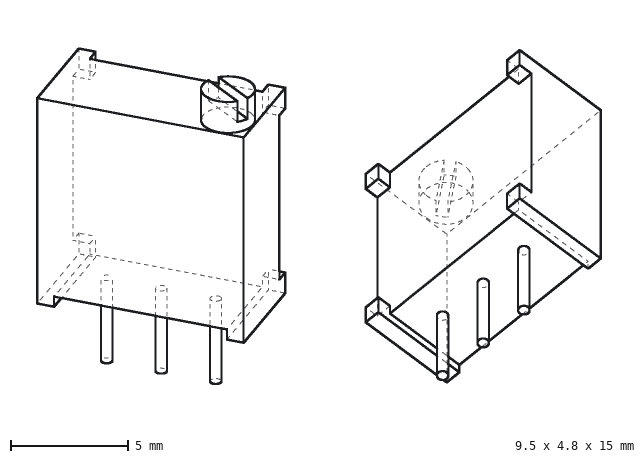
import cadquery as cq

total_height = 15.0

housing_width = 9.5
housing_depth = 4.8
pin_length_below_feet = 3.52
screw_height = 1.5
housing_top = total_height - screw_height
housing_height = housing_top - pin_length_below_feet

foot_width = 0.78
foot_height = 0.5
pad_depth = 0.69
pad_height = 1.0
gap_width = housing_width - 2 * foot_width
underside = pin_length_below_feet + foot_height

screw_diameter = 2.31
screw_edge_inset = 1.2
screw_x = housing_width / 2 - screw_edge_inset
slot_width = 0.51
slot_depth = 1.0
slot_angle = -35.0

pin_diameter = 0.5
pin_pitch = 2.5
pin_y = housing_depth / 2


def block(x_size, y_size, z_size, y_start, z_start):
    """Box centred on X that starts at the given Y and Z."""
    return (
        cq.Workplane("XY")
        .box(x_size, y_size, z_size, centered=(True, False, False))
        .translate((0, y_start, z_start))
    )


def make_housing():
    """Block with a foot along each lower side and a pad at each back corner."""
    housing = block(housing_width, housing_depth, housing_height, 0, pin_length_below_feet)
    gap_between_feet = block(gap_width, housing_depth, foot_height, 0, pin_length_below_feet)

    back_y = housing_depth - pad_depth
    upright_recess = block(gap_width, pad_depth, housing_height, back_y, pin_length_below_feet)
    level_recess = block(
        housing_width,
        pad_depth,
        housing_height - 2 * pad_height,
        back_y,
        pin_length_below_feet + pad_height,
    )
    return housing.cut(gap_between_feet).cut(upright_recess).cut(level_recess)


def make_screw():
    """Round screw head with a slanted screwdriver slot across its top."""
    head = cq.Workplane("XY").circle(screw_diameter / 2).extrude(screw_height)
    slot = block(screw_diameter, slot_width, slot_depth, -slot_width / 2, screw_height - slot_depth)
    slot = slot.rotate((0, 0, 0), (0, 0, 1), slot_angle)
    return head.cut(slot).translate((screw_x, screw_edge_inset, housing_top))


def make_pins():
    """Row of three round pins reaching up to the underside of the housing."""
    pin_places = [(position * pin_pitch, pin_y) for position in (-1, 0, 1)]
    return cq.Workplane("XY").pushPoints(pin_places).circle(pin_diameter / 2).extrude(underside)


result = make_housing().union(make_screw()).union(make_pins())